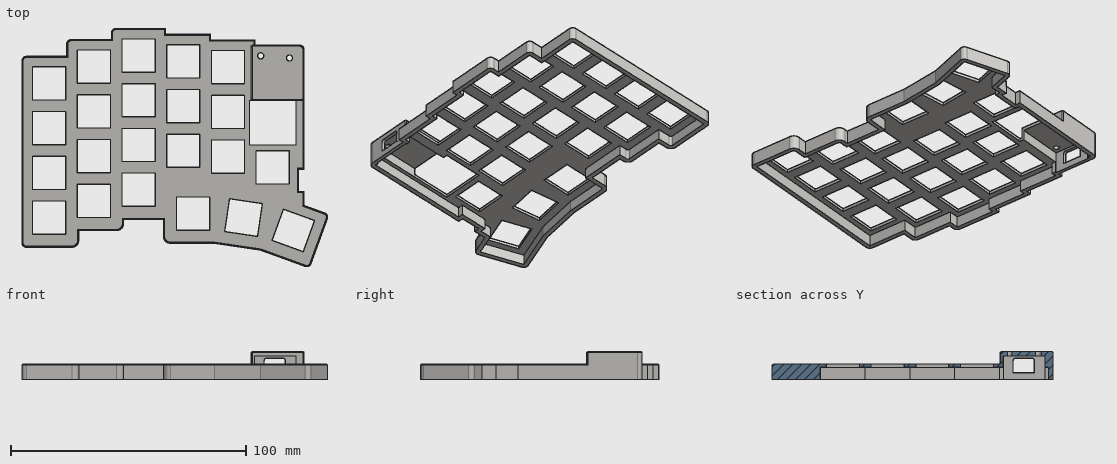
import cadquery as cq
import math

body_height = 6.7
total_height = 12.0
plate_thickness = 1.5
plate_bottom_z = body_height - plate_thickness
wall_thickness = 2.0
edge_chamfer = 0.5

pitch = 19.0
switch_size = 14.0
first_column_x = 11.8
first_column_y = 20.7
column_stagger = [0, 7.1, 11.85, 9.4, 6.95]
column_first_row = [0, 0, 0, 1, 1]
row_count = 4
inner_column = 5
inner_stagger = 2.3
inner_row = 1

thumb_keys = [(73.0, 22.4, 0), (94.4, 20.72, 8.4), (115.55, 15.25, 20)]

upper_margin = 11.55
lower_margin = 12.65
thumb_end_margin = 11.9

right_x = 120.15
notch_depth = 2.35
notch_bottom_y = 31.85
notch_top_y = 41.2

small_radius = 2.0
large_radius = 3.0

cover_left_x = 97.65
cover_back_y = 94.0
cover_front_y = 70.4
cover_roof = 2.0
cover_left_wall = 1.4
cover_back_wall = 1.5
cover_pin_diameter = 2.5
cover_pins = [(101.7, 89.4), (113.9, 88.5)]
window_left_x = 97.0
window_right_x = 116.6
window_bottom_y = 51.6
port_left_x = 103.2
port_right_x = 112.1
port_bottom_z = 3.0
port_top_z = 9.0
port_radius = 0.9


def column_x(column):
    return first_column_x + column * pitch


def key_y(stagger, row):
    return first_column_y + stagger + row * pitch


def thumb_point(key, across, along):
    """Point at a local offset from a thumb key's centre, in the turned key's own directions."""
    x, y, turn = key
    cos_turn = math.cos(math.radians(turn))
    sin_turn = math.sin(math.radians(turn))
    return (x + across * cos_turn + along * sin_turn, y - across * sin_turn + along * cos_turn)


def line_crossing(p, p_turn, q, q_turn):
    """Crossing of two lines given by a point and a clockwise turn from +X."""
    p_angle = math.radians(-p_turn)
    q_angle = math.radians(-q_turn)
    dx = q[0] - p[0]
    dy = q[1] - p[1]
    distance = (dx * math.sin(q_angle) - dy * math.cos(q_angle)) / math.sin(q_angle - p_angle)
    return (p[0] + distance * math.cos(p_angle), p[1] + distance * math.sin(p_angle))


def outline_corners():
    """Corners of the body as (point, fillet radius; 0 for sharp), clockwise from the lower left."""
    left = [column_x(c) - upper_margin for c in range(len(column_stagger))]
    right = [column_x(c) + upper_margin for c in range(len(column_stagger))]
    top = [key_y(s, row_count - 1) + upper_margin for s in column_stagger]
    bottom = [key_y(s, 0) - lower_margin for s in column_stagger]
    foot_right = [column_x(c) + lower_margin for c in range(len(column_stagger))]
    first, second, third = thumb_keys
    below = [thumb_point(key, 0, -lower_margin) for key in thumb_keys]
    above_third = thumb_point(third, 0, upper_margin)
    thumb_left = first[0] - lower_margin
    return [
        ((left[0], bottom[0]), small_radius),
        ((left[0], top[0]), small_radius),
        ((left[1], top[0]), 0),
        ((left[1], top[1]), small_radius),
        ((left[2], top[1]), 0),
        ((left[2], top[2]), small_radius),
        ((right[2], top[2]), 0),
        ((right[2], top[3]), 0),
        ((right[3], top[3]), 0),
        ((right[3], top[4]), 0),
        ((right[4], top[4]), 0),
        ((right[4], cover_back_y), 0),
        ((right_x, cover_back_y), small_radius),
        ((right_x, notch_top_y), 0),
        ((right_x - notch_depth, notch_top_y), 0),
        ((right_x - notch_depth, notch_bottom_y), 0),
        ((right_x, notch_bottom_y), 0),
        (line_crossing((right_x, 0), -90, above_third, third[2]), 0),
        (thumb_point(third, thumb_end_margin, upper_margin), small_radius),
        (thumb_point(third, thumb_end_margin, -lower_margin), small_radius),
        (line_crossing(below[1], second[2], below[2], third[2]), 0),
        (line_crossing(below[0], first[2], below[1], second[2]), 0),
        ((thumb_left, below[0][1]), large_radius),
        ((thumb_left, bottom[2]), 0),
        ((foot_right[1], bottom[2]), 0),
        ((foot_right[1], bottom[1]), large_radius),
        ((foot_right[0], bottom[1]), 0),
        ((foot_right[0], bottom[0]), large_radius),
    ]


def box(x_range, y_range, z_range):
    """Box spanning the given (low, high) ranges."""
    size = [high - low for low, high in (x_range, y_range, z_range)]
    low_corner = (x_range[0], y_range[0], z_range[0])
    return cq.Workplane("XY").box(*size, centered=False).translate(low_corner)


def body_prism():
    """Full-height prism of the outline, with its rounded corners."""
    corners = outline_corners()
    prism = cq.Workplane("XY").polyline([point for point, _ in corners]).close().extrude(body_height)
    for (x, y), radius in corners:
        if radius > 0:
            corner_edge = cq.selectors.NearestToPointSelector((x, y, body_height / 2))
            prism = prism.edges("|Z").edges(corner_edge).fillet(radius)
    return prism


def body_cavity(prism):
    """Space under the plate, a wall thickness inside the outline and open at the bottom."""
    outline = prism.faces("<Z").wires().val()
    inner_outline = outline.offset2D(-wall_thickness, "intersection")
    return cq.Workplane("XY").add(inner_outline).toPending().extrude(plate_bottom_z)


def controller_cover():
    """Raised block over the controller, standing on the plate."""
    cover = box((cover_left_x, right_x), (cover_front_y, cover_back_y), (plate_bottom_z, total_height))
    cover = cover.edges("|Z and >X and >Y").fillet(small_radius)
    cover = cover.edges("|Z and (<X or <Y)").chamfer(edge_chamfer)
    return cover.faces(">Z").edges().chamfer(edge_chamfer)


def controller_pocket():
    """Hollow under the cover, open to the front and the bottom."""
    return box(
        (cover_left_x + cover_left_wall, window_right_x),
        (cover_front_y, cover_back_y - cover_back_wall),
        (0, total_height - cover_roof),
    )


def display_window():
    return box((window_left_x, window_right_x), (window_bottom_y, cover_front_y), (0, body_height))


def usb_port():
    """Opening through the cover's back wall, rounded at the top."""
    port = box(
        (port_left_x, port_right_x),
        (cover_back_y - wall_thickness, cover_back_y),
        (port_bottom_z, port_top_z),
    )
    return port.edges("|Y and >Z").fillet(port_radius)


def cover_holes():
    return cq.Workplane("XY").pushPoints(cover_pins).circle(cover_pin_diameter / 2).extrude(total_height)


def switch_cutouts():
    """One square through-cut for every key."""
    keys = [(column_x(inner_column), key_y(inner_stagger, inner_row), 0)]
    for column, stagger in enumerate(column_stagger):
        for row in range(column_first_row[column], row_count):
            keys.append((column_x(column), key_y(stagger, row), 0))
    cutouts = cq.Workplane("XY")
    for x, y, turn in keys + thumb_keys:
        cutout = cq.Workplane("XY").rect(switch_size, switch_size).extrude(body_height)
        cutouts = cutouts.add(cutout.rotate((0, 0, 0), (0, 0, 1), -turn).translate((x, y, 0)))
    return cutouts.combine()


prism = body_prism()
body = prism.faces(">Z").edges().chamfer(edge_chamfer)
body = body.union(controller_cover())
body = body.cut(body_cavity(prism))
body = body.cut(controller_pocket())
body = body.cut(display_window())
body = body.cut(usb_port())
body = body.cut(cover_holes())
result = body.cut(switch_cutouts())